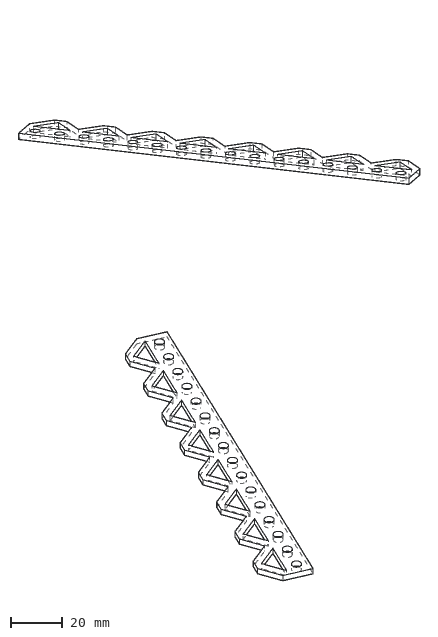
import cadquery as cq

length = 160.0
thickness = 2.5
tooth_count = 8
holes_per_tooth = 2
hole_diameter = 3.8

tooth_pitch = length / tooth_count
height = tooth_pitch
strip_width = tooth_pitch / 2
crest_width = tooth_pitch / 4
tooth_rise = (tooth_pitch - crest_width) / 2
valley_y = height - tooth_rise
hole_pitch = tooth_pitch / holes_per_tooth
hole_count = tooth_count * holes_per_tooth

window_half_base = (tooth_pitch - crest_width) / 2
window_height = window_half_base

tooth_centers = [(i + 0.5) * tooth_pitch for i in range(tooth_count)]
hole_centers = [((i + 0.5) * hole_pitch, strip_width / 2) for i in range(hole_count)]


def toothed_plate():
    """Flat strip with flat-topped teeth along its +Y edge."""
    outline = [(0, 0), (0, valley_y)]
    for center in tooth_centers:
        outline.append((center - crest_width / 2, height))
        outline.append((center + crest_width / 2, height))
        outline.append((center + tooth_pitch / 2, valley_y))
    outline.append((length, 0))
    return cq.Workplane("XY").polyline(outline).close().extrude(thickness)


def window(center):
    """Triangular cutter standing on the strip, centred in one tooth."""
    corners = [
        (center - window_half_base, strip_width),
        (center + window_half_base, strip_width),
        (center, strip_width + window_height),
    ]
    return cq.Workplane("XY").polyline(corners).close().extrude(thickness)


result = toothed_plate()
for tooth_center in tooth_centers:
    result = result.cut(window(tooth_center))

holes = cq.Workplane("XY").pushPoints(hole_centers).circle(hole_diameter / 2).extrude(thickness)
result = result.cut(holes)